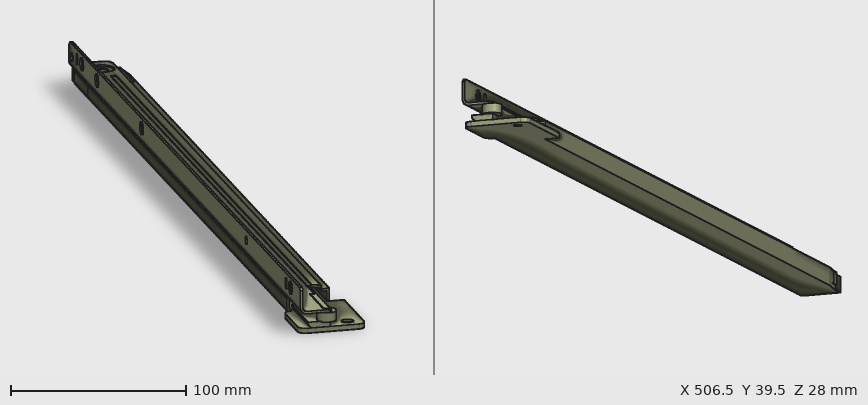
import cadquery as cq

LENGTH = 506.5

BASE_THICKNESS = 3.0

FLANGE_START = 8.5
FLANGE_END = 505.0
FLANGE_TOP = 28.0
SHEET = 1.5
BEND_RADIUS = 3.8
WEB_BOTTOM = 12.0
WEB_TOP = WEB_BOTTOM + SHEET
WEB_FLAT_EDGE = 20.5
DROOP_EDGE = 26.5
DROOP_DEPTH = 1.5
FLANGE_FRONT_CHAMFER = 3.0
FLANGE_REAR_CHAMFER = 1.5
STEP_START = 37.0
STEP_EDGE = 17.0
STEP_DEPTH = 0.5
WEB_NOTCH_START = 456.0
WEB_NOTCH_EDGE = 18.5

HOLE_HEIGHT = 22.0
SCREW_HOLES_X = (36.5, 69.0, 164.5, 484.0)
SCREW_HOLE_DIAMETER = 4.5
SCREW_SINK_DIAMETER = 7.5
SCREW_SINK_DEPTH = 1.0
FRONT_HOLE_X = 15.0
FRONT_HOLE_HEIGHT = 20.0
FRONT_HOLE_DIAMETER = 5.0
PIN_HOLE_X = 389.0
PIN_HOLE_DIAMETER = 4.5
SLOTS_X = (26.5, 474.5)
SLOT_WIDTH = 3.5
SLOT_HEIGHT = 6.5

SEAT_X = 22.5
SEAT_Y = 16.0
SEAT_DIAMETER = 14.0
SEAT_DEPTH = 1.0
SEAT_HOLE_DIAMETER = 7.0

LIP_START = 468.5
LIP_END = 503.5
LIP_FRONT_Y = 14.5
LIP_BACK_Y = 18.0
FOOT_FRONT_Y = 5.0
FOOT_EDGE_RADIUS = 3.0
FOOT_TOP = 6.5
DRUM_DIAMETER = 11.0
DRUM_Y = 16.5
GROOVE_START = 472.5
GROOVE_END = 502.5
GROOVE_DEPTH = 0.5

CHANNEL_FRONT_Y = 2.0
CHANNEL_BACK_Y = 31.0
CHANNEL_TOP = 10.5
CHANNEL_LIP_WIDTH = 4.5
BASE_STEP = 1.5
LOWER_RADIUS = 3.0
CHANNEL_START = 7.5
FRONT_WALL_END = 468.5
BACK_WALL_END = 456.0
CORNER_TAPER_LENGTH = 20.0
CORNER_TAPER_WIDTH = 3.0
TAB_START = 456.0
TAB_FRONT_START = 468.5
TAB_END = 503.5
TAB_WIDTH = 39.5
TAB_CORNER_RADIUS = 4.5
TAB_HOLE_X = 496.0
TAB_HOLE_Y = 30.5
TAB_HOLE_DIAMETER = 4.5
TAB_SINK_DIAMETER = 7.0
TAB_SINK_DEPTH = 1.5

CAP_FRONT_Y = 4.0
CAP_BACK_Y = 27.0
CAP_BOTTOM = BASE_STEP
CAP_HEAD_LENGTH = 13.0
CAP_CORNER_RADIUS = 1.5
CHEEK_END = 42.0
POCKET_COUNT = 3
POCKET_PITCH = 6.0
POCKET_LENGTH = 3.0
POCKET_WIDTH = 3.0
POCKET_DEPTH = 1.5
SIDE_RECESS_LENGTH = 7.0
SIDE_RECESS_DEPTH = 1.0
SIDE_RECESS_MARGIN = 1.5


def box(x0, x1, y0, y1, z0, z1):
    """A block between two opposite corners."""
    return cq.Workplane("XY").box(x1 - x0, y1 - y0, z1 - z0, centered=False).translate((x0, y0, z0))


def section_plane(x):
    """A plane across the slide, with Y and Z as its own axes."""
    return cq.Workplane("YZ", origin=(x, 0, 0))


def lower_front_arc(sketch, centre, radius, end):
    """Continue a section round the lower front quarter of a circle."""
    diagonal = radius * 0.5 ** 0.5
    middle = (centre[0] - diagonal, centre[1] - diagonal)
    return sketch.threePointArc(middle, end)


def folded_strip():
    bend_centre = (BEND_RADIUS, WEB_BOTTOM + BEND_RADIUS)
    inner_radius = BEND_RADIUS - SHEET
    droop_middle_y = (WEB_FLAT_EDGE + DROOP_EDGE) / 2
    droop_middle = DROOP_DEPTH / 4
    strip = section_plane(FLANGE_START).moveTo(0, FLANGE_TOP).lineTo(0, bend_centre[1])
    strip = lower_front_arc(strip, bend_centre, BEND_RADIUS, (BEND_RADIUS, WEB_BOTTOM))
    strip = (
        strip.lineTo(WEB_FLAT_EDGE, WEB_BOTTOM)
        .threePointArc((droop_middle_y, WEB_BOTTOM - droop_middle), (DROOP_EDGE, WEB_BOTTOM - DROOP_DEPTH))
        .lineTo(DROOP_EDGE, WEB_TOP - DROOP_DEPTH)
        .threePointArc((droop_middle_y, WEB_TOP - droop_middle), (WEB_FLAT_EDGE, WEB_TOP))
        .lineTo(BEND_RADIUS, WEB_TOP)
    )
    strip = lower_front_arc(strip, bend_centre, inner_radius, (SHEET, bend_centre[1]))
    strip = strip.lineTo(SHEET, FLANGE_TOP).close().extrude(FLANGE_END - FLANGE_START)
    strip = strip.edges("|Y and >Z and <X").chamfer(FLANGE_FRONT_CHAMFER)
    return strip.edges("|Y and >Z and >X").chamfer(FLANGE_REAR_CHAMFER)


def flange_hole(x, z, diameter, depth=SHEET):
    """A round cutter that enters the flange from its outer face."""
    return cq.Workplane("XZ").center(x, z).circle(diameter / 2).extrude(-depth)


def flange_slot(x):
    return cq.Workplane("XZ").center(x, HOLE_HEIGHT).slot2D(SLOT_HEIGHT, SLOT_WIDTH, 90).extrude(-SHEET)


def pierce_flange(rail):
    for x in SCREW_HOLES_X:
        rail = rail.cut(flange_hole(x, HOLE_HEIGHT, SCREW_HOLE_DIAMETER))
        rail = rail.cut(flange_hole(x, HOLE_HEIGHT, SCREW_SINK_DIAMETER, SCREW_SINK_DEPTH))
    for x in SLOTS_X:
        rail = rail.cut(flange_slot(x))
    rail = rail.cut(flange_hole(FRONT_HOLE_X, FRONT_HOLE_HEIGHT, FRONT_HOLE_DIAMETER))
    return rail.cut(flange_hole(PIN_HOLE_X, HOLE_HEIGHT, PIN_HOLE_DIAMETER))


def web_seat():
    """Cutter for the stepped round seat."""
    centre = cq.Workplane("XY", origin=(SEAT_X, SEAT_Y, WEB_TOP))
    recess = centre.circle(SEAT_DIAMETER / 2).extrude(-SEAT_DEPTH)
    return recess.union(centre.circle(SEAT_HOLE_DIAMETER / 2).extrude(-SHEET))


def stop_lip():
    """The hanging lip, its forward foot with a rounded lower edge, and the round drum at its end."""
    lip = box(LIP_START, LIP_END, LIP_FRONT_Y, LIP_BACK_Y, FOOT_TOP, WEB_BOTTOM)
    foot = box(LIP_START, LIP_END, FOOT_FRONT_Y, LIP_BACK_Y, BASE_THICKNESS, FOOT_TOP)
    foot = foot.edges("|X and <Y and <Z").fillet(FOOT_EDGE_RADIUS)
    drum_radius = DRUM_DIAMETER / 2
    drum = cq.Workplane("XY", origin=(LENGTH - drum_radius, DRUM_Y, FOOT_TOP))
    drum = drum.circle(drum_radius).extrude(WEB_BOTTOM - FOOT_TOP)
    return lip.union(foot).union(drum)


def lip_groove():
    """Cutter for the shallow groove in the web above the stop lip."""
    return box(GROOVE_START, GROOVE_END, LIP_FRONT_Y, STEP_EDGE, WEB_TOP - GROOVE_DEPTH, WEB_TOP)


def make_mounting_rail():
    rail = pierce_flange(folded_strip())
    rail = rail.cut(box(STEP_START, FLANGE_END, STEP_EDGE, WEB_FLAT_EDGE, WEB_TOP - STEP_DEPTH, WEB_TOP))
    rail = rail.cut(box(WEB_NOTCH_START, FLANGE_END, WEB_NOTCH_EDGE, DROOP_EDGE, 0, WEB_TOP))
    rail = rail.cut(web_seat()).cut(lip_groove())
    return rail.union(stop_lip())


def channel_length():
    inner_front = CHANNEL_FRONT_Y + SHEET
    inner_back = CHANNEL_BACK_Y - SHEET
    lip_bottom = CHANNEL_TOP - SHEET
    base_front = CHANNEL_FRONT_Y + LOWER_RADIUS
    wall_bottom = BASE_STEP + LOWER_RADIUS
    channel = section_plane(CHANNEL_START).moveTo(base_front, 0).lineTo(base_front, BASE_STEP)
    channel = lower_front_arc(
        channel, (base_front, wall_bottom), LOWER_RADIUS, (CHANNEL_FRONT_Y, wall_bottom)
    )
    channel = (
        channel.lineTo(CHANNEL_FRONT_Y, CHANNEL_TOP)
        .lineTo(CHANNEL_FRONT_Y + CHANNEL_LIP_WIDTH, CHANNEL_TOP)
        .lineTo(CHANNEL_FRONT_Y + CHANNEL_LIP_WIDTH, lip_bottom)
        .lineTo(inner_front, lip_bottom)
        .lineTo(inner_front, wall_bottom)
        .lineTo(base_front, BASE_THICKNESS)
        .lineTo(inner_back, BASE_THICKNESS)
        .lineTo(inner_back, lip_bottom)
        .lineTo(CHANNEL_BACK_Y - CHANNEL_LIP_WIDTH, lip_bottom)
        .lineTo(CHANNEL_BACK_Y - CHANNEL_LIP_WIDTH, CHANNEL_TOP)
        .lineTo(CHANNEL_BACK_Y, CHANNEL_TOP)
        .lineTo(CHANNEL_BACK_Y, 0)
    )
    return channel.close().extrude(FRONT_WALL_END - CHANNEL_START)


def corner_taper():
    """Cutter that narrows the back of the channel towards its front end."""
    return (
        cq.Workplane("XY")
        .moveTo(CHANNEL_START, CHANNEL_BACK_Y)
        .lineTo(CHANNEL_START, CHANNEL_BACK_Y - CORNER_TAPER_WIDTH)
        .lineTo(CHANNEL_START + CORNER_TAPER_LENGTH, CHANNEL_BACK_Y)
        .close()
        .extrude(CHANNEL_TOP)
    )


def screw_tab():
    tab = box(TAB_START, TAB_END, 0, TAB_WIDTH, 0, BASE_THICKNESS)
    front_gap = box(TAB_START, TAB_FRONT_START, 0, CHANNEL_FRONT_Y + LOWER_RADIUS, 0, BASE_THICKNESS)
    tab = tab.cut(front_gap).edges("|Z and (<Y or >X)").fillet(TAB_CORNER_RADIUS)
    hole_centre = cq.Workplane("XY", origin=(TAB_HOLE_X, TAB_HOLE_Y, BASE_THICKNESS))
    tab = tab.cut(hole_centre.circle(TAB_HOLE_DIAMETER / 2).extrude(-BASE_THICKNESS))
    return tab.cut(hole_centre.circle(TAB_SINK_DIAMETER / 2).extrude(-TAB_SINK_DEPTH))


def make_channel_rail(end_cap):
    channel_middle = (CHANNEL_FRONT_Y + CHANNEL_BACK_Y) / 2
    rail = channel_length().cut(corner_taper())
    rail = rail.cut(
        box(BACK_WALL_END, FRONT_WALL_END, channel_middle, CHANNEL_BACK_Y, BASE_THICKNESS, CHANNEL_TOP)
    )
    rail = rail.cut(
        box(CHANNEL_START, CAP_HEAD_LENGTH, CHANNEL_FRONT_Y, CHANNEL_BACK_Y, BASE_STEP, CHANNEL_TOP)
    )
    return rail.union(screw_tab()).cut(end_cap)


def cap_pockets():
    """Cutters for the row of pockets in the top of the cap head."""
    middle_y = (CAP_FRONT_Y + CAP_BACK_Y) / 2
    first_y = middle_y - POCKET_PITCH * (POCKET_COUNT - 1) / 2
    pockets = cq.Workplane("XY", origin=(CHANNEL_START / 2, first_y, CHANNEL_TOP))
    pockets = pockets.pushPoints([(0, i * POCKET_PITCH) for i in range(POCKET_COUNT)])
    return pockets.rect(POCKET_LENGTH, POCKET_WIDTH).extrude(-POCKET_DEPTH)


def side_recess():
    """Cutter for the shallow window in the front side of the cap head."""
    middle_x = CAP_HEAD_LENGTH / 2
    return box(
        middle_x - SIDE_RECESS_LENGTH / 2,
        middle_x + SIDE_RECESS_LENGTH / 2,
        CAP_FRONT_Y,
        CAP_FRONT_Y + SIDE_RECESS_DEPTH,
        CAP_BOTTOM + SIDE_RECESS_MARGIN,
        CHANNEL_TOP - SIDE_RECESS_MARGIN,
    )


def cap_cheek():
    """The stretch of front wall that belongs to the cap, shaped like the channel wall it replaces."""
    return channel_length().intersect(
        box(CAP_HEAD_LENGTH, CHEEK_END, CHANNEL_FRONT_Y, CAP_FRONT_Y, BASE_STEP, CHANNEL_TOP)
    )


def make_end_cap():
    head = box(0, CAP_HEAD_LENGTH, CAP_FRONT_Y, CAP_BACK_Y, CAP_BOTTOM, CHANNEL_TOP)
    head = head.edges("|Z and <X").fillet(CAP_CORNER_RADIUS)
    head = head.cut(cap_pockets()).cut(side_recess())
    plug = box(CAP_HEAD_LENGTH, CHEEK_END, CAP_FRONT_Y, CHANNEL_BACK_Y - SHEET, BASE_THICKNESS, CHANNEL_TOP)
    return head.union(plug).union(cap_cheek())


mounting_rail = make_mounting_rail()
end_cap = make_end_cap()
channel_rail = make_channel_rail(end_cap)

result = cq.Compound.makeCompound([mounting_rail.val(), channel_rail.val(), end_cap.val()])